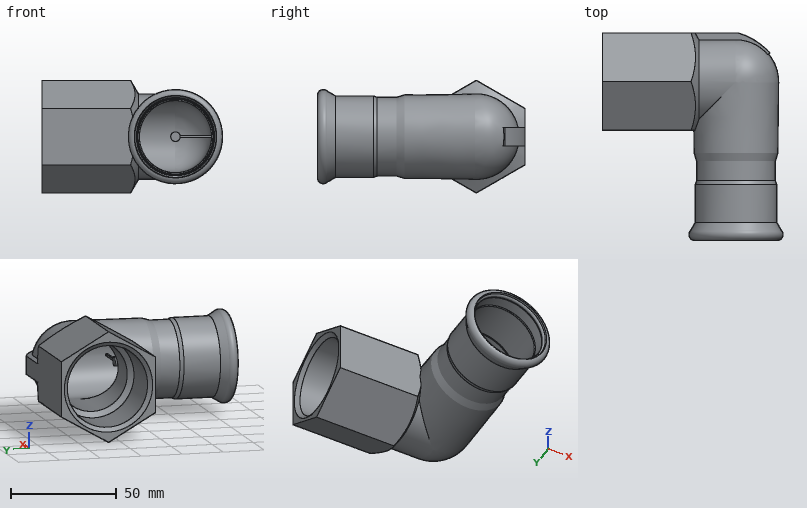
import cadquery as cq
import math


HEX_ACROSS_FLATS = 46.1
HEX_CORNER_RADIUS = HEX_ACROSS_FLATS / math.sqrt(3)
HEX_START_X = -63.0
CONE_START_X = -21.2
CONE_END_X = -17.4
THREAD_RADIUS = 19.6
THREAD_DEPTH = 26.8
THREAD_MOUTH_RADIUS = 21.6
THREAD_CHAMFER = 2.0

ELBOW_RADIUS = 20.2
BORE_RADIUS = 34.0 / 2

SHOULDER_Y = -33.7
SHOULDER_RADIUS = 19.8
NECK_START_Y = -37.6
NECK_RADIUS = 18.6
NECK_END_Y = -46.7
SOCKET_START_Y = -48.6
SOCKET_RADIUS = 19.3
SOCKET_END_Y = -66.4
END_Y = -75.0
BEAD_RADIUS = 22.2
END_RADIUS = 38.9 / 2
BEAD_ROUNDING = BEAD_RADIUS - END_RADIUS
BEAD_CREST_Y = END_Y + BEAD_ROUNDING
BEAD_START_Y = -70.3
BEAD_START_RADIUS = END_RADIUS + math.sqrt(BEAD_ROUNDING**2 - (BEAD_START_Y - BEAD_CREST_Y)**2)

STOP_Y = NECK_END_Y
PIPE_RADIUS = 35.3 / 2
ENTRY_TAPER_RADIUS = 35.9 / 2
ENTRY_RADIUS = 37.0 / 2
ENTRY_CHAMFER_Y = -66.2
ENTRY_INNER_Y = -66.8
GROOVE_START_Y = -71.9
GROOVE_END_Y = -74.1
GROOVE_RADIUS = 20.3
SEAL_INNER_RADIUS = 18.3
LIP_RADIUS = 38.4 / 2

RIB_HALF_WIDTH = 4.4
RIB_TOP_Y = HEX_ACROSS_FLATS / 2
RIB_BACK_START_X = 1.0
RIB_BACK_MIDDLE = (7.35, 20.4)
RIB_TIP = (16.1, 13.5)

DISC_RADIUS = 2.3
DISC_FRONT_Y = -21.6
DISC_THICKNESS = 2.0
ARM_WIDTH = 0.9
ARM_THICKNESS = 1.0
ARM_END_X = BORE_RADIUS + 0.3


def cylinder_x(radius, start, end):
    """Cylinder on the X axis between two X positions."""
    return cq.Workplane("YZ").workplane(offset=start).circle(radius).extrude(end - start)


def turn_y(profile):
    """Revolve an XY profile about the Y axis."""
    return profile.close().revolve(360, (0, 0, 0), (0, 1, 0))


def make_hexagon():
    hexagon = (
        cq.Workplane("YZ").workplane(offset=HEX_START_X)
        .polygon(6, 2 * HEX_CORNER_RADIUS)
        .extrude(CONE_END_X - HEX_START_X)
        .rotate((0, 0, 0), (1, 0, 0), 90)
    )
    envelope = (
        cq.Workplane("XY")
        .moveTo(HEX_START_X, 0)
        .lineTo(HEX_START_X, HEX_CORNER_RADIUS)
        .lineTo(CONE_START_X, HEX_CORNER_RADIUS)
        .lineTo(CONE_END_X, ELBOW_RADIUS)
        .lineTo(CONE_END_X, 0)
        .close()
        .revolve(360, (0, 0, 0), (1, 0, 0))
    )
    return hexagon.intersect(envelope)


def make_press_leg():
    bead_top = (BEAD_RADIUS, BEAD_CREST_Y)
    return turn_y(
        cq.Workplane("XY")
        .moveTo(0, 0)
        .lineTo(ELBOW_RADIUS, 0)
        .lineTo(SHOULDER_RADIUS, SHOULDER_Y)
        .lineTo(NECK_RADIUS, NECK_START_Y)
        .lineTo(NECK_RADIUS, NECK_END_Y)
        .lineTo(SOCKET_RADIUS, SOCKET_START_Y)
        .lineTo(SOCKET_RADIUS, SOCKET_END_Y)
        .lineTo(BEAD_START_RADIUS, BEAD_START_Y)
        .threePointArc(bead_top, (END_RADIUS, END_Y))
        .lineTo(0, END_Y)
    )


def make_rib():
    return (
        cq.Workplane("XY").workplane(offset=-RIB_HALF_WIDTH)
        .moveTo(CONE_START_X, 0)
        .lineTo(CONE_START_X, RIB_TOP_Y)
        .lineTo(RIB_BACK_START_X, RIB_TOP_Y)
        .threePointArc(RIB_BACK_MIDDLE, RIB_TIP)
        .lineTo(0, 0)
        .close()
        .extrude(2 * RIB_HALF_WIDTH)
    )


def make_thread_bore():
    thread_end_x = HEX_START_X + THREAD_DEPTH
    mouth = (
        cq.Workplane("YZ").workplane(offset=HEX_START_X)
        .circle(THREAD_MOUTH_RADIUS)
        .workplane(offset=THREAD_CHAMFER)
        .circle(THREAD_RADIUS)
        .loft(ruled=True)
    )
    thread = cylinder_x(THREAD_RADIUS, HEX_START_X, thread_end_x)
    runout = (
        cq.Workplane("YZ").workplane(offset=thread_end_x)
        .circle(THREAD_RADIUS)
        .workplane(offset=THREAD_RADIUS - BORE_RADIUS)
        .circle(BORE_RADIUS)
        .loft(ruled=True)
    )
    return cylinder_x(BORE_RADIUS, HEX_START_X, 0).union(thread).union(runout).union(mouth)


def make_press_bore():
    return turn_y(
        cq.Workplane("XY")
        .moveTo(0, 0)
        .lineTo(BORE_RADIUS, 0)
        .lineTo(BORE_RADIUS, STOP_Y)
        .lineTo(PIPE_RADIUS, STOP_Y)
        .lineTo(PIPE_RADIUS, ENTRY_CHAMFER_Y)
        .lineTo(ENTRY_TAPER_RADIUS, ENTRY_INNER_Y)
        .lineTo(ENTRY_RADIUS, GROOVE_START_Y)
        .lineTo(GROOVE_RADIUS, GROOVE_START_Y)
        .lineTo(GROOVE_RADIUS, GROOVE_END_Y)
        .lineTo(LIP_RADIUS, GROOVE_END_Y)
        .lineTo(END_RADIUS, END_Y)
        .lineTo(0, END_Y)
    )


def make_disc_and_arm():
    disc = (
        cq.Workplane("XZ").workplane(offset=-DISC_FRONT_Y)
        .circle(DISC_RADIUS)
        .extrude(-DISC_THICKNESS)
    )
    arm = (
        cq.Workplane("XY")
        .box(ARM_END_X, ARM_THICKNESS, ARM_WIDTH, centered=(False, True, True))
        .translate((0, DISC_FRONT_Y + DISC_THICKNESS / 2, 0))
    )
    return disc.union(arm)


def make_fitting():
    outside = (
        cylinder_x(ELBOW_RADIUS, CONE_START_X, 0)
        .union(cq.Workplane("XY").sphere(ELBOW_RADIUS))
        .union(make_press_leg())
        .union(make_rib())
        .union(make_hexagon())
    )
    bend_space = cq.Workplane("XY").sphere(BORE_RADIUS)
    hollow = make_thread_bore().union(make_press_bore()).union(bend_space)
    return outside.cut(hollow).union(make_disc_and_arm())


def make_seal_ring():
    """Sealing ring filling the groove behind the press leg's lip."""
    middle_y = (GROOVE_START_Y + GROOVE_END_Y) / 2
    return turn_y(
        cq.Workplane("XY")
        .moveTo(LIP_RADIUS, GROOVE_END_Y)
        .lineTo(GROOVE_RADIUS, GROOVE_END_Y)
        .lineTo(GROOVE_RADIUS, GROOVE_START_Y)
        .lineTo(LIP_RADIUS, GROOVE_START_Y)
        .threePointArc((SEAL_INNER_RADIUS, middle_y), (LIP_RADIUS, GROOVE_END_Y))
    )


fitting = make_fitting()
seal_ring = make_seal_ring()
result = cq.Compound.makeCompound([fitting.val(), seal_ring.val()])